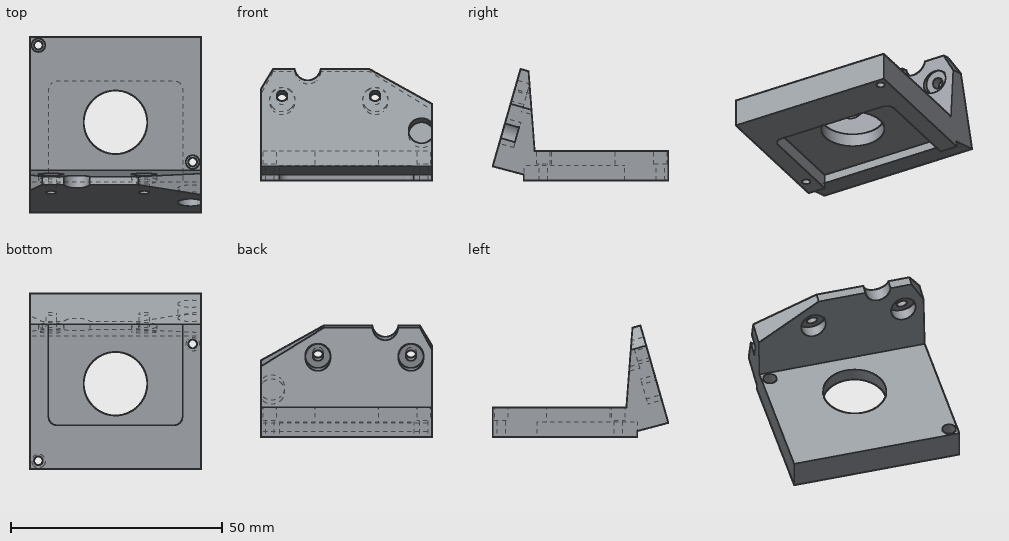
import cadquery as cq
import math

width = 40.5
depth = 41.6
plate_top = 7.05
foot_front = 7.35
foot_lip = 1.4
wall_back = 10.0

lean = 16.0
wall_height = 24.0
wall_top_thickness = 2.0
front_edge_z = 3.35

corner_angle = 30.0
left_cut_width = 2.87
right_cut_width = 14.9

wall_hole_diameter = 2.55
wall_hole_xs = (5.0, 27.0)
wall_hole_height = 17.4
spotface_diameter = 6.0
spotface_floor = 3.0
notch_diameter = 6.15
notch_x = 11.05
notch_rise = 0.3
socket_diameter = 6.15
socket_x = 38.0
socket_height = 8.8
socket_depth = 3.5

bore_diameter = 15.0
bore_y = 21.4
screw_hole_diameter = 2.0
screw_head_diameter = 3.2
screw_head_depth = 3.0
screw_inset = 2.0
pocket_side = 4.35
pocket_back = 31.2
pocket_ceiling = 3.7
pocket_corner_radius = 2.1

wall_through = 10.4

lean_angle = math.radians(lean)
lean_sin = math.sin(lean_angle)
lean_cos = math.cos(lean_angle)

front_face = cq.Plane(
    origin=(0, 0, front_edge_z),
    xDir=(1, 0, 0),
    normal=(0, -lean_cos, lean_sin),
)


def plate_and_wall():
    """Plate and leaning wall as one side outline extruded across the width."""
    top_front_y = wall_height * lean_sin
    top_front_z = front_edge_z + wall_height * lean_cos
    top_back_y = top_front_y + wall_top_thickness * lean_cos
    top_back_z = top_front_z - wall_top_thickness * lean_sin
    outline = [
        (0, front_edge_z),
        (top_front_y, top_front_z),
        (top_back_y, top_back_z),
        (wall_back, plate_top),
        (depth, plate_top),
        (depth, 0),
        (foot_front, 0),
        (foot_front, foot_lip),
    ]
    return cq.Workplane("YZ").polyline(outline).close().extrude(width)


def wall_corner(side_x, cut_width, cut_height):
    """Triangular prism at a top corner of the wall, square to the front face.

    A negative cut_width runs from the side towards -X.
    """
    triangle = [
        (side_x, wall_height),
        (side_x + cut_width, wall_height),
        (side_x, wall_height - cut_height),
    ]
    return cq.Workplane(front_face).polyline(triangle).close().extrude(-wall_through)


def wall_cylinder(x, height, diameter, length, start=0):
    """Cylinder square to the front face, running inwards from a distance behind it."""
    return (
        cq.Workplane(front_face)
        .workplane(offset=-start)
        .center(x, height)
        .circle(diameter / 2)
        .extrude(-length)
    )


def plate_holes(centers, diameter, hole_depth):
    """Vertical cylinders running down from the top of the plate."""
    return (
        cq.Workplane("XY")
        .workplane(offset=plate_top)
        .pushPoints(centers)
        .circle(diameter / 2)
        .extrude(-hole_depth)
    )


def underside_pocket():
    """Pocket in the underside, open at the plate's front edge, rounded at the back."""
    return (
        cq.Workplane("XY")
        .box(width - 2 * pocket_side, pocket_back - foot_front, pocket_ceiling, centered=False)
        .translate((pocket_side, foot_front, 0))
        .edges("|Z and >Y")
        .fillet(pocket_corner_radius)
    )


part = plate_and_wall()

corner_tan = math.tan(math.radians(corner_angle))
part = part.cut(wall_corner(0, left_cut_width, left_cut_width / corner_tan))
part = part.cut(wall_corner(width, -right_cut_width, right_cut_width * corner_tan))
part = part.cut(wall_cylinder(notch_x, wall_height + notch_rise, notch_diameter, wall_through))

part = part.cut(wall_cylinder(socket_x, socket_height, socket_diameter, socket_depth))

for hole_x in wall_hole_xs:
    part = part.cut(wall_cylinder(hole_x, wall_hole_height, wall_hole_diameter, wall_through))
    part = part.cut(
        wall_cylinder(hole_x, wall_hole_height, spotface_diameter, wall_through, spotface_floor)
    )

part = part.cut(underside_pocket())
part = part.cut(plate_holes([(width / 2, bore_y)], bore_diameter, plate_top))
screw_centers = [
    (screw_inset, depth - screw_inset),
    (width - screw_inset, wall_back + screw_inset),
]
part = part.cut(plate_holes(screw_centers, screw_hole_diameter, plate_top))
part = part.cut(plate_holes(screw_centers, screw_head_diameter, screw_head_depth))

result = part